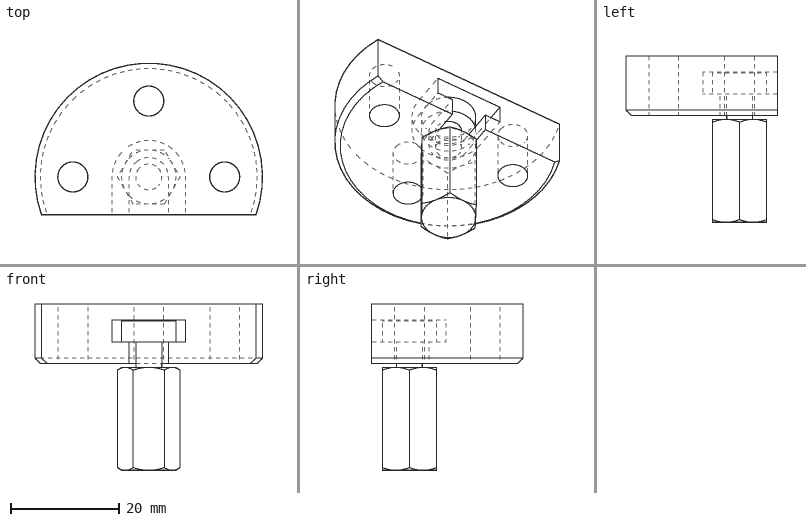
import cadquery as cq
import math


disc_radius = 21.0
disc_height = 11.0
disc_chamfer = 1.0
flat_y = -7.0

hole_diameter = 5.5
hole_circle_radius = 14.0
hole_angles = (0, 90, 180)

head_slot_width = 13.5
head_slot_height = 4.0
neck_slot_width = 7.2
shoulder_height = 4.0

head_diameter = 10.0
head_height = 3.8
stem_diameter = 4.8
hex_gap = 0.7
hex_length = 19.0
hex_across_flats = 10.0
hex_chamfer_height = 0.5


def round_ended_slot(width, base_z, height):
    """Slot cutter with its round end on the Z axis, running out through the flat."""
    radius = width / 2
    return (
        cq.Workplane("XY", origin=(0, 0, base_z))
        .moveTo(-radius, flat_y)
        .lineTo(-radius, 0)
        .threePointArc((0, radius), (radius, 0))
        .lineTo(radius, flat_y)
        .close()
        .extrude(height)
    )


def make_disc():
    """Disc with a flat side, a chamfered lower rim, three holes and a T-slot."""
    disc = cq.Workplane("XY").circle(disc_radius).extrude(disc_height)
    disc = disc.faces("<Z").chamfer(disc_chamfer)

    beyond_flat = (
        cq.Workplane("XY")
        .moveTo(-disc_radius, -disc_radius)
        .lineTo(disc_radius, -disc_radius)
        .lineTo(disc_radius, flat_y)
        .lineTo(-disc_radius, flat_y)
        .close()
        .extrude(disc_height)
    )
    disc = disc.cut(beyond_flat)

    for angle in hole_angles:
        x = hole_circle_radius * math.cos(math.radians(angle))
        y = hole_circle_radius * math.sin(math.radians(angle))
        hole = cq.Workplane("XY").center(x, y).circle(hole_diameter / 2).extrude(disc_height)
        disc = disc.cut(hole)

    disc = disc.cut(round_ended_slot(neck_slot_width, 0, shoulder_height))
    return disc.cut(round_ended_slot(head_slot_width, shoulder_height, head_slot_height))


def make_hex_body():
    """Hexagonal bar below the disc, its corners turned off conically at both ends."""
    across_corners = hex_across_flats / math.cos(math.pi / 6)
    end_radius = hex_across_flats / 2
    corner_radius = across_corners / 2
    top_z = -hex_gap
    bottom_z = top_z - hex_length

    bar = cq.Workplane("XY", origin=(0, 0, bottom_z)).polygon(6, across_corners).extrude(hex_length)
    turned_envelope = (
        cq.Workplane("XZ")
        .moveTo(0, bottom_z)
        .lineTo(end_radius, bottom_z)
        .lineTo(corner_radius, bottom_z + hex_chamfer_height)
        .lineTo(corner_radius, top_z - hex_chamfer_height)
        .lineTo(end_radius, top_z)
        .lineTo(0, top_z)
        .close()
        .revolve(360, (0, 0, 0), (0, 1, 0))
    )
    return bar.intersect(turned_envelope)


def make_standoff():
    """Hexagonal bar, stem and round head in one piece, the head resting on the slot shoulders."""
    stem = (
        cq.Workplane("XY", origin=(0, 0, -hex_gap))
        .circle(stem_diameter / 2)
        .extrude(hex_gap + shoulder_height)
    )
    head = (
        cq.Workplane("XY", origin=(0, 0, shoulder_height))
        .circle(head_diameter / 2)
        .extrude(head_height)
    )
    return make_hex_body().union(stem).union(head)


disc = make_disc()
standoff = make_standoff()

result = cq.Compound.makeCompound([disc.val(), standoff.val()])